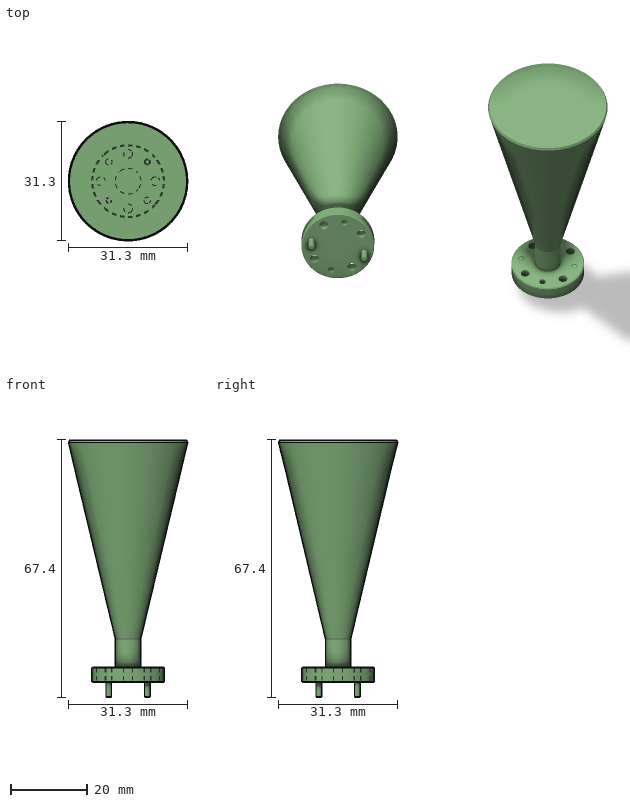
import cadquery as cq
import math

total_height = 67.4
flange_bottom = 3.9
flange_thickness = 4.0
neck_top = 15.3

mouth_diameter = 31.3
neck_diameter = 6.75
rim_height = 0.6
rim_inset = 0.35

flange_diameter = 19.05
flange_chamfer = 0.3
hole_circle_radius = 7.15
screw_hole_diameter = 2.3
dowel_hole_diameter = 1.7

pin_diameter = 1.55
pin_chamfer = 0.2

flange_top = flange_bottom + flange_thickness
screw_hole_angles = [0, 90, 180, 270]
dowel_hole_angles = [135, 315]
pin_angles = [45, 225]


def circle_points(angles):
    """Points on the flange hole circle at the given angles in degrees."""
    return [
        (
            hole_circle_radius * math.cos(math.radians(angle)),
            hole_circle_radius * math.sin(math.radians(angle)),
        )
        for angle in angles
    ]


def flange_holes(diameter, angles):
    """Cylinders that cut holes right through the flange."""
    return (
        cq.Workplane("XY", origin=(0, 0, flange_bottom))
        .pushPoints(circle_points(angles))
        .circle(diameter / 2)
        .extrude(flange_thickness)
    )


def make_flange():
    """Round flange with both rims chamfered."""
    return (
        cq.Workplane("XY", origin=(0, 0, flange_bottom))
        .circle(flange_diameter / 2)
        .extrude(flange_thickness)
        .edges()
        .chamfer(flange_chamfer)
    )


def make_cone_and_neck():
    """Straight neck that widens to the mouth and ends in a bevelled rim."""
    neck_radius = neck_diameter / 2
    mouth_radius = mouth_diameter / 2
    profile = (
        cq.Workplane("XZ")
        .moveTo(0, flange_top)
        .lineTo(neck_radius, flange_top)
        .lineTo(neck_radius, neck_top)
        .lineTo(mouth_radius, total_height - rim_height)
        .lineTo(mouth_radius - rim_inset, total_height)
        .lineTo(0, total_height)
        .close()
    )
    return profile.revolve(360, (0, 0, 0), (0, 1, 0))


def make_horn():
    """Horn body: flange, neck and cone, with screw, dowel and pin holes."""
    return (
        make_flange()
        .union(make_cone_and_neck())
        .cut(flange_holes(screw_hole_diameter, screw_hole_angles))
        .cut(flange_holes(dowel_hole_diameter, dowel_hole_angles))
        .cut(flange_holes(pin_diameter, pin_angles))
    )


def make_pin(x, y):
    """Alignment pin, flush with the flange top and chamfered at both ends."""
    return (
        cq.Workplane("XY", origin=(x, y, 0))
        .circle(pin_diameter / 2)
        .extrude(flange_top)
        .edges("%CIRCLE")
        .chamfer(pin_chamfer)
    )


horn = make_horn()
pins = [make_pin(x, y) for x, y in circle_points(pin_angles)]

result = cq.Compound.makeCompound([horn.val(), *[pin.val() for pin in pins]])